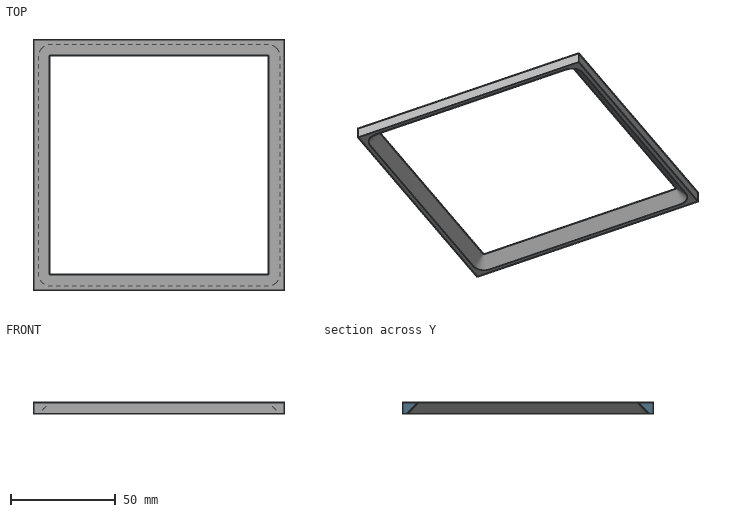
import cadquery as cq

frame_side = 120.0
frame_height = 5.5
top_rim_width = 7.7
window_corner_radius = 0.5

undercut = frame_height
top_window_side = frame_side - 2 * top_rim_width
bottom_window_side = top_window_side + 2 * undercut
bottom_corner_radius = window_corner_radius + undercut


def rounded_square(side, radius):
    """Square outline with rounded corners, centred on the origin."""
    return cq.Sketch().rect(side, side).vertices().fillet(radius)


def make_frame_blank():
    """Solid square plate standing on the XY plane."""
    return cq.Workplane("XY").box(frame_side, frame_side, frame_height, centered=(True, True, False))


def make_window():
    """Through window, wider at the bottom, with conical corners."""
    bottom = rounded_square(bottom_window_side, bottom_corner_radius)
    top = rounded_square(top_window_side, window_corner_radius)
    top_location = cq.Location(cq.Vector(0, 0, frame_height))
    return cq.Workplane("XY").placeSketch(bottom, top.moved(top_location)).loft(ruled=True)


result = make_frame_blank().cut(make_window())